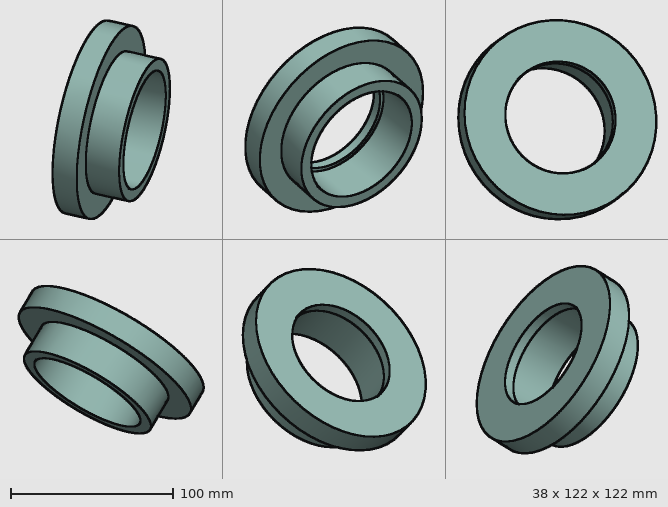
import cadquery as cq

flange_diameter = 122.0
flange_thickness = 16.0
hub_diameter = 90.0
total_length = 38.0
bore_diameter = 70.0
counterbore_diameter = 75.0
lip_thickness = 7.0

hub_length = total_length - flange_thickness
counterbore_depth = total_length - lip_thickness

flange = cq.Workplane("YZ").circle(flange_diameter / 2).extrude(flange_thickness)

part = flange.faces(">X").workplane().circle(hub_diameter / 2).extrude(hub_length)

result = part.faces(">X").workplane().cboreHole(bore_diameter, counterbore_diameter, counterbore_depth)